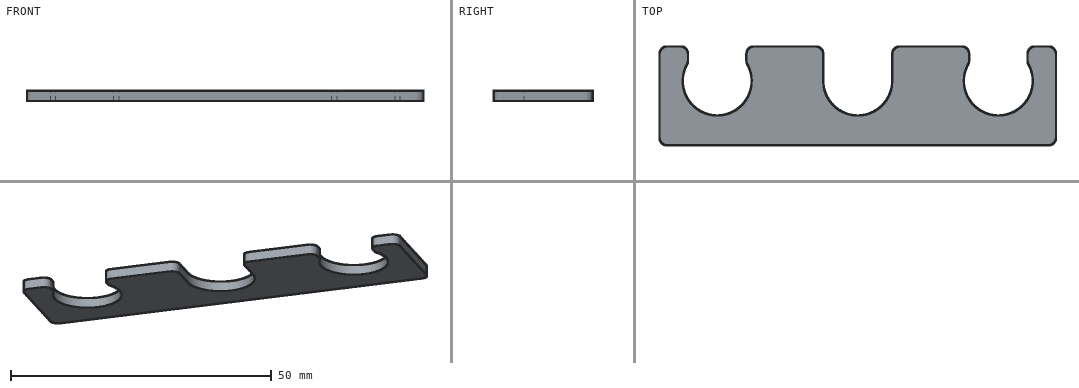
import cadquery as cq
import math

length = 76.2
width = 19.05
thickness = 2.0
corner_radius = 1.5

cradle_radius = 6.6
cradle_pitch = 27.0
cradle_depth = 13.27
mouth_radius = 1.5
neck_half_width = 5.58
lip_radius = 1.5
blend_radius = 1.5

back_y = width / 2
cradle_y = back_y - cradle_depth + cradle_radius


def plate():
    """Flat plate with rounded vertical corners."""
    blank = cq.Workplane("XY").box(length, width, thickness, centered=(True, True, False))
    return blank.edges("|Z").fillet(corner_radius)


def open_cradle():
    """Middle cradle: half-round seat with straight walls and a rounded mouth."""
    mouth_y = back_y - mouth_radius
    mouth_x = cradle_radius + mouth_radius
    diagonal = mouth_radius * math.sqrt(0.5)
    return (
        cq.Workplane("XY")
        .moveTo(-mouth_x, back_y)
        .threePointArc((-mouth_x + diagonal, mouth_y + diagonal), (-cradle_radius, mouth_y))
        .lineTo(-cradle_radius, cradle_y)
        .threePointArc((0, cradle_y - cradle_radius), (cradle_radius, cradle_y))
        .lineTo(cradle_radius, mouth_y)
        .threePointArc((mouth_x - diagonal, mouth_y + diagonal), (mouth_x, back_y))
        .close()
        .extrude(thickness)
    )


def snap_cradle(center_x):
    """Outer cradle: round seat behind a narrower mouth, with lips rounded inside and outside."""
    lip_y = back_y - lip_radius
    lip_x = neck_half_width + lip_radius
    lip_diagonal = lip_radius * math.sqrt(0.5)

    blend_x = neck_half_width + blend_radius
    center_distance = cradle_radius + blend_radius
    blend_y = cradle_y + math.sqrt(center_distance**2 - blend_x**2)
    seat_share = cradle_radius / center_distance
    touch_x = blend_x * seat_share
    touch_y = cradle_y + (blend_y - cradle_y) * seat_share
    half_turn = math.acos(blend_x / center_distance) / 2
    blend_mid_x = blend_x - blend_radius * math.cos(half_turn)
    blend_mid_y = blend_y - blend_radius * math.sin(half_turn)

    return (
        cq.Workplane("XY")
        .center(center_x, 0)
        .moveTo(-lip_x, back_y)
        .threePointArc((-lip_x + lip_diagonal, lip_y + lip_diagonal), (-neck_half_width, lip_y))
        .lineTo(-neck_half_width, blend_y)
        .threePointArc((-blend_mid_x, blend_mid_y), (-touch_x, touch_y))
        .threePointArc((0, cradle_y - cradle_radius), (touch_x, touch_y))
        .threePointArc((blend_mid_x, blend_mid_y), (neck_half_width, blend_y))
        .lineTo(neck_half_width, lip_y)
        .threePointArc((lip_x - lip_diagonal, lip_y + lip_diagonal), (lip_x, back_y))
        .close()
        .extrude(thickness)
    )


result = plate().cut(open_cradle())
for side in (-1, 1):
    result = result.cut(snap_cradle(side * cradle_pitch))